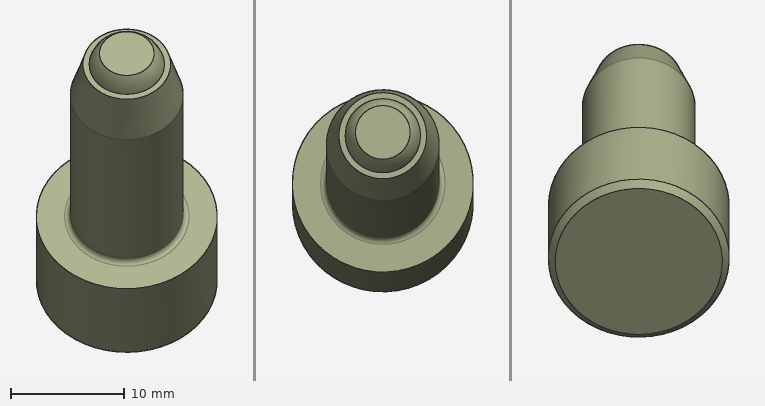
import cadquery as cq

total_height = 34.0
head_diameter = 16.0
head_height = 10.0
head_chamfer_width = 0.6
head_chamfer_height = 0.6

shank_diameter = 10.0
shank_fillet = 0.5

tip_height = 1.55
taper_height = 4.5
taper_end_diameter = 7.75
tip_base_diameter = 6.65
tip_top_diameter = 4.83
tip_arc_radius = 3.0

head_radius = head_diameter / 2
shank_radius = shank_diameter / 2
tip_base_z = total_height - tip_height
taper_base_z = tip_base_z - taper_height


def make_head():
    """Cylindrical head with a chamfered bottom rim."""
    head = cq.Workplane("XY").circle(head_radius).extrude(head_height)
    return head.faces("<Z").chamfer(head_chamfer_height, head_chamfer_width)


def make_pin():
    """Revolved shank with a flared root, a taper and a domed tip."""
    profile = (
        cq.Workplane("XZ")
        .lineTo(shank_radius + shank_fillet, 0)
        .lineTo(shank_radius + shank_fillet, head_height)
        .radiusArc((shank_radius, head_height + shank_fillet), shank_fillet)
        .lineTo(shank_radius, taper_base_z)
        .lineTo(taper_end_diameter / 2, tip_base_z)
        .lineTo(tip_base_diameter / 2, tip_base_z)
        .radiusArc((tip_top_diameter / 2, total_height), -tip_arc_radius)
        .lineTo(0, total_height)
        .close()
    )
    return profile.revolve(360, (0, 0, 0), (0, 1, 0))


result = make_head().union(make_pin())